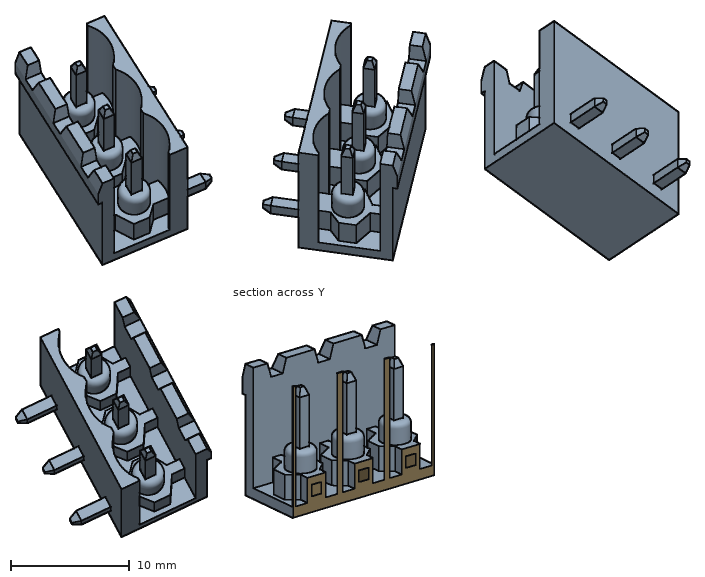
import cadquery as cq


pole_count = 3
housing_length = 15.24
pitch = housing_length / pole_count
pole_positions = [(i - (pole_count - 1) / 2) * pitch for i in range(pole_count)]

housing_height = 12.0
housing_depth = 8.1
back_y = 3.78
front_y = back_y - housing_depth
back_wall = 1.7
front_wall = 1.1
floor_thickness = 1.0
back_wall_inner_y = back_y - back_wall
front_wall_inner_y = front_y + front_wall

lip_overhang = 0.4
lip_height = 2.85
lip_slope_height = 1.33
lip_y = front_y - lip_overhang

notch_top_width = 2.01
notch_bottom_width = 1.25
notch_depth = lip_slope_height

hollow_width = 4.6
hollow_depth = 0.87

pedestal_top = 3.29
pedestal_back_width = 2.01
pedestal_middle_width = 4.11
pedestal_front_width = 0.95
back_neck_y = 1.31
middle_back_y = 0.43
middle_front_y = -1.08
front_neck_y = -2.01

collar_diameter = 2.75
collar_top = 5.27
collar_rounding = 0.49

pin_side = 1.0
pin_tip_side = 0.43
pin_taper = 0.75
pin_top = 10.7
tail_height = 2.0
tail_length = 3.5
tail_end_y = back_y + tail_length


def make_shell():
    """U-shaped channel with the latch lip on its front wall."""
    outline = [
        (back_y, 0),
        (back_y, housing_height),
        (back_wall_inner_y, housing_height),
        (back_wall_inner_y, floor_thickness),
        (front_wall_inner_y, floor_thickness),
        (front_wall_inner_y, housing_height),
        (front_y, housing_height),
        (lip_y, housing_height - lip_slope_height),
        (lip_y, housing_height - lip_height),
        (front_y, housing_height - lip_height),
        (front_y, 0),
    ]
    return cq.Workplane("YZ").polyline(outline).close().extrude(housing_length / 2, both=True)


def make_hollow(x):
    """Circular-segment cutter that hollows the back wall behind one pin, down to the floor."""
    return (
        cq.Workplane("XY", origin=(x, back_wall_inner_y, floor_thickness))
        .moveTo(-hollow_width / 2, 0)
        .threePointArc((0, hollow_depth), (hollow_width / 2, 0))
        .close()
        .extrude(housing_height - floor_thickness)
    )


def make_notch(x):
    """Cutter for one notch, narrowing downward, through the front wall and its lip."""
    outline = [
        (-notch_top_width / 2, 0),
        (notch_top_width / 2, 0),
        (notch_bottom_width / 2, -notch_depth),
        (-notch_bottom_width / 2, -notch_depth),
    ]
    return (
        cq.Workplane("XZ", origin=(x, front_wall_inner_y, housing_height))
        .polyline(outline)
        .close()
        .extrude(front_wall_inner_y - lip_y)
    )


def make_pedestal(x):
    """Block under one pin, reaching from the front wall into the back wall."""
    right_side = [
        (pedestal_back_width / 2, back_y),
        (pedestal_back_width / 2, back_neck_y),
        (pedestal_middle_width / 2, middle_back_y),
        (pedestal_middle_width / 2, middle_front_y),
        (pedestal_front_width / 2, front_neck_y),
        (pedestal_front_width / 2, front_wall_inner_y),
    ]
    left_side = [(-px, py) for px, py in reversed(right_side)]
    return (
        cq.Workplane("XY", origin=(x, 0, 0))
        .polyline(right_side + left_side)
        .close()
        .extrude(pedestal_top)
    )


def make_collar(x):
    """Cylinder around one pin with a rounded top edge."""
    return (
        cq.Workplane("XY", origin=(x, 0, floor_thickness))
        .circle(collar_diameter / 2)
        .extrude(collar_top - floor_thickness)
        .faces(">Z")
        .edges()
        .fillet(collar_rounding)
    )


def make_tip(end_plane):
    """Blunt pyramid that starts at the end of a pin leg."""
    return (
        end_plane.rect(pin_side, pin_side)
        .workplane(offset=pin_taper)
        .rect(pin_tip_side, pin_tip_side)
        .loft(ruled=True)
    )


def make_pin(x):
    """Square pin with an upright leg and a tail that leaves through the back wall."""
    half_side = pin_side / 2
    leg_end_z = pin_top - pin_taper
    tail_taper_y = tail_end_y - pin_taper
    outline = [
        (-half_side, tail_height - half_side),
        (tail_taper_y, tail_height - half_side),
        (tail_taper_y, tail_height + half_side),
        (half_side, tail_height + half_side),
        (half_side, leg_end_z),
        (-half_side, leg_end_z),
    ]
    bent_bar = (
        cq.Workplane("YZ", origin=(x, 0, 0))
        .polyline(outline)
        .close()
        .extrude(half_side, both=True)
    )
    leg_tip = make_tip(cq.Workplane("XY", origin=(x, 0, leg_end_z)))
    tail_tip = make_tip(cq.Workplane("ZX", origin=(x, tail_taper_y, tail_height)))
    return bent_bar.union(leg_tip).union(tail_tip)


def make_housing(pins):
    """Channel with hollows, notches, pedestals and collars, and a matching bore for each pin."""
    body = make_shell()
    for x in pole_positions:
        body = body.cut(make_hollow(x)).cut(make_notch(x))
        body = body.union(make_pedestal(x)).union(make_collar(x))
    for pin in pins:
        body = body.cut(pin)
    return body


pins = [make_pin(x) for x in pole_positions]
housing = make_housing(pins)

result = cq.Compound.makeCompound([housing.val(), *[pin.val() for pin in pins]])